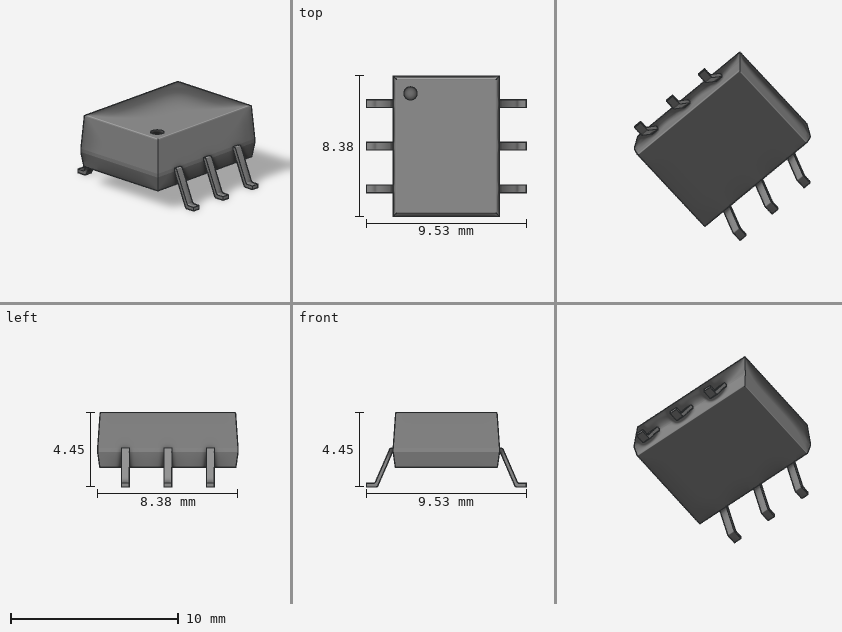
import cadquery as cq
import math

LEAD_SPAN = 9.53
OVERALL_HEIGHT = 4.45

HOUSING_LENGTH_X = 6.35
HOUSING_LENGTH_Y = 8.38
HOUSING_BOTTOM_Z = 1.15
BELT_TOP_Z = 2.32
UPPER_DRAFT = 4.0
LOWER_DRAFT = 8.0
HOUSING_EDGE_RADIUS = 0.09

MARKER_DIAMETER = 0.79
MARKER_DEPTH = 0.45
MARKER_INSET = 1.04

LEAD_THICKNESS = 0.23
LEAD_WIDTH = 0.48
LEAD_PITCH = 2.535
LEADS_PER_SIDE = 3
LEAD_ANGLE = 66.5
LEAD_SHOULDER_LENGTH = 0.18
SHOULDER_OUTER_RADIUS = 0.105
SHOULDER_INNER_RADIUS = 0.04
FOOT_INNER_RADIUS = 0.14
FOOT_OUTER_RADIUS = 0.14

BELT_BOTTOM_Z = BELT_TOP_Z - LEAD_THICKNESS


def make_housing():
    """Moulded block with a straight belt, drafted sides and a marker hole."""
    plan = (HOUSING_LENGTH_X, HOUSING_LENGTH_Y)
    belt = cq.Workplane("XY").workplane(offset=BELT_BOTTOM_Z).rect(*plan).extrude(LEAD_THICKNESS)
    upper = (
        cq.Workplane("XY")
        .workplane(offset=BELT_TOP_Z)
        .rect(*plan)
        .extrude(OVERALL_HEIGHT - BELT_TOP_Z, taper=UPPER_DRAFT)
        .faces(">Z")
        .edges()
        .fillet(HOUSING_EDGE_RADIUS)
    )
    lower = (
        cq.Workplane("XY")
        .workplane(offset=BELT_BOTTOM_Z)
        .rect(*plan)
        .extrude(HOUSING_BOTTOM_Z - BELT_BOTTOM_Z, taper=LOWER_DRAFT)
        .faces("<Z")
        .edges()
        .fillet(HOUSING_EDGE_RADIUS)
    )
    marker = (
        cq.Workplane("XY")
        .workplane(offset=OVERALL_HEIGHT)
        .center(MARKER_INSET - HOUSING_LENGTH_X / 2, HOUSING_LENGTH_Y / 2 - MARKER_INSET)
        .circle(MARKER_DIAMETER / 2)
        .extrude(-MARKER_DEPTH)
    )
    return belt.union(upper).union(lower).cut(marker)


def make_lead(y_center):
    """Bent strip on the +X side, butting against the belt of the housing."""
    belt_x = HOUSING_LENGTH_X / 2
    tip_x = LEAD_SPAN / 2
    slope = math.radians(LEAD_ANGLE)
    arm_run = (BELT_TOP_Z - LEAD_THICKNESS) / math.tan(slope)
    miter = LEAD_THICKNESS * math.tan(slope / 2)
    upper_outer_x = belt_x + LEAD_SHOULDER_LENGTH
    upper_inner_x = upper_outer_x - miter
    profile = [
        (belt_x, BELT_TOP_Z),
        (upper_outer_x, BELT_TOP_Z),
        (upper_outer_x + arm_run, LEAD_THICKNESS),
        (tip_x, LEAD_THICKNESS),
        (tip_x, 0),
        (upper_inner_x + arm_run, 0),
        (upper_inner_x, BELT_BOTTOM_Z),
        (belt_x, BELT_BOTTOM_Z),
    ]
    strip = (
        cq.Workplane("XZ", origin=(0, y_center, 0))
        .polyline(profile)
        .close()
        .extrude(LEAD_WIDTH / 2, both=True)
    )
    bends = [
        (upper_outer_x, BELT_TOP_Z, SHOULDER_OUTER_RADIUS),
        (upper_inner_x, BELT_BOTTOM_Z, SHOULDER_INNER_RADIUS),
        (upper_outer_x + arm_run, LEAD_THICKNESS, FOOT_INNER_RADIUS),
        (upper_inner_x + arm_run, 0, FOOT_OUTER_RADIUS),
    ]
    for x, z, radius in bends:
        corner = cq.selectors.NearestToPointSelector((x, y_center, z))
        strip = strip.edges("|Y").edges(corner).fillet(radius)
    return strip


housing = make_housing()

first_lead_y = -(LEADS_PER_SIDE - 1) / 2 * LEAD_PITCH
leads = []
for i in range(LEADS_PER_SIDE):
    lead = make_lead(first_lead_y + i * LEAD_PITCH)
    leads.append(lead.val())
    leads.append(lead.mirror("YZ").val())

result = cq.Compound.makeCompound([housing.val(), *leads])